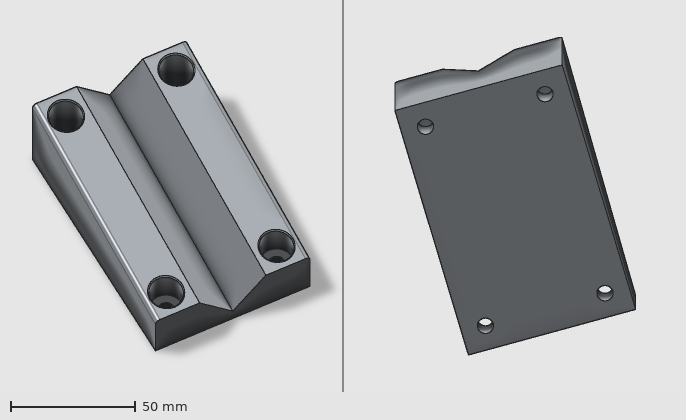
import cadquery as cq

length = 107.5
width = 70.0
high_end = 37.0
low_end = 20.0

edge_radius = 2.0

groove_width = 30.0
groove_depth = groove_width / 2

hole_inset = 10.0
hole_diameter = 6.5
bore_diameter = 14.0
bore_floor = 10.0
rim_chamfer = 0.5


def make_wedge():
    """Block with a sloped top, rounded along its two long top edges."""
    side = [(0, 0), (length, 0), (length, low_end), (0, high_end)]
    wedge = cq.Workplane("XZ").polyline(side).close().extrude(width / 2, both=True)
    long_top_edges = wedge.faces(">Z").edges("<Y or >Y")
    return long_top_edges.fillet(edge_radius)


def make_groove():
    """V-shaped cutter swept parallel to the sloped top."""
    start = cq.Vector(0, 0, high_end)
    along_slope = cq.Vector(length, 0, low_end - high_end)
    profile = cq.Wire.makePolygon(
        [
            start + cq.Vector(0, -groove_width / 2, 0),
            start + cq.Vector(0, 0, -groove_depth),
            start + cq.Vector(0, groove_width / 2, 0),
        ],
        close=True,
    )
    return cq.Solid.extrudeLinear(profile, [], along_slope)


def make_holes():
    """Vertical through holes with flat-bottomed counterbores."""
    spacing_x = length - 2 * hole_inset
    spacing_y = width - 2 * hole_inset

    def cylinders(diameter, floor):
        plane = cq.Workplane("XY", origin=(length / 2, 0, floor))
        return plane.rarray(spacing_x, spacing_y, 2, 2).circle(diameter / 2).extrude(high_end - floor)

    return cylinders(hole_diameter, 0).union(cylinders(bore_diameter, bore_floor))


def chamfer_bore_rims(body):
    """Break the edge where each counterbore meets the sloped top."""
    return body.edges("%ELLIPSE and (not (<X or >X))").chamfer(rim_chamfer)


block = make_wedge().cut(cq.Workplane(make_groove())).cut(make_holes())
result = chamfer_bore_rims(block)